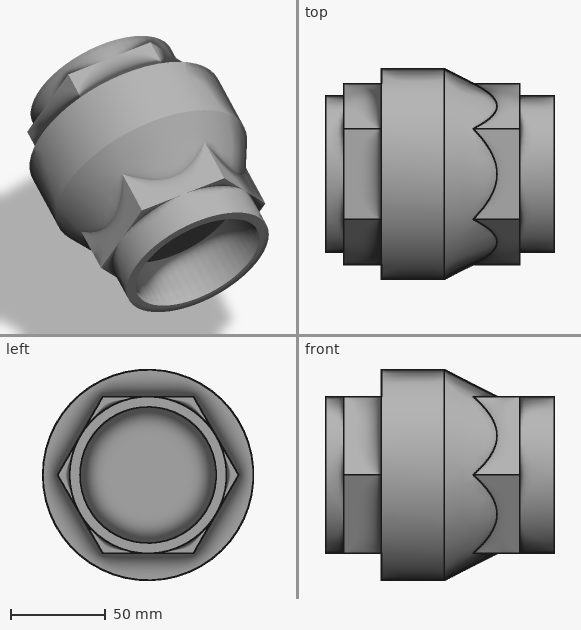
import cadquery as cq
import math

total_length = 121.0
body_diameter = 111.5
hex_across_flats = 82.9
hex_across_corners = hex_across_flats / math.cos(math.radians(30))
collar_diameter = hex_across_flats
bore_diameter = 72.0
bore_depth = 29.5

front_hex_start = 9.5
body_start = 29.5
cone_start = 62.7
cone_end = 90.6
rear_hex_end = 102.7


def cylinder(start, end, diameter):
    return cq.Workplane("YZ", origin=(start, 0, 0)).circle(diameter / 2).extrude(end - start)


def hexagon(start, end):
    """Hexagonal prism with flats facing +Z and -Z and corners on +Y and -Y."""
    return (
        cq.Workplane("YZ", origin=(start, 0, 0))
        .polygon(6, hex_across_corners)
        .extrude(end - start)
    )


def body():
    """Round body whose rear tapers down to the hexagon flats."""
    body_radius = body_diameter / 2
    return (
        cq.Workplane("XY")
        .moveTo(body_start, 0)
        .lineTo(body_start, body_radius)
        .lineTo(cone_start, body_radius)
        .lineTo(cone_end, hex_across_flats / 2)
        .lineTo(cone_end, 0)
        .close()
        .revolve(360, (0, 0, 0), (1, 0, 0))
    )


collars = cylinder(0, total_length, collar_diameter)
front_hex = hexagon(front_hex_start, body_start)
rear_hex = hexagon(cone_start, rear_hex_end)
outside = collars.union(front_hex).union(rear_hex).union(body())

front_socket = cylinder(0, bore_depth, bore_diameter)
rear_socket = cylinder(total_length - bore_depth, total_length, bore_diameter)
result = outside.cut(front_socket).cut(rear_socket)